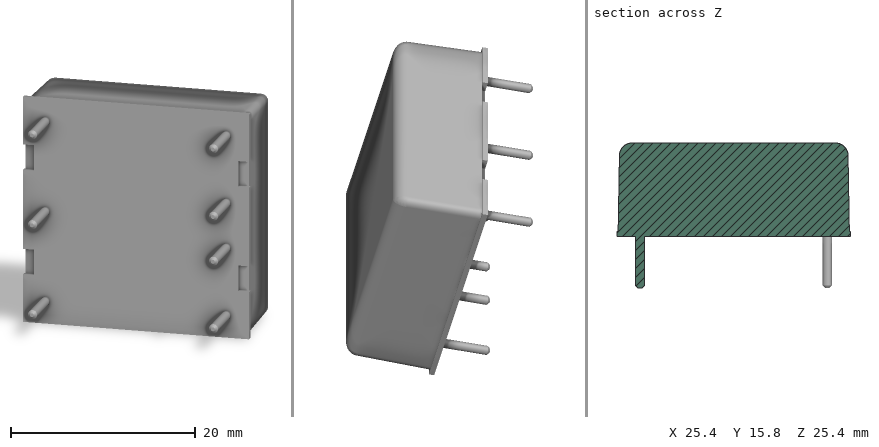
import cadquery as cq
import math

plate_side = 25.4
plate_thickness = 0.6

cover_side = 25.1
body_height = 10.18
cover_draft = 1.0
cover_rim_radius = 1.4
cover_corner_radius = 0.8

notch_depth = 1.25
notch_width = 2.9
notch_offset = 5.9

pitch = 2.54
pin_diameter = 1.0
pin_length = 5.58
pin_tip_chamfer = 0.28
pin_column = 4 * pitch
left_pin_rows = (-4 * pitch, 0, 4 * pitch)
right_pin_rows = (-4 * pitch, -pitch, pitch, 4 * pitch)


def plane_at(y):
    """Workplane at height y whose normal is +Y, with local x = -X and local y = Z."""
    return cq.Workplane(cq.Plane(origin=(0, y, 0), xDir=(-1, 0, 0), normal=(0, 1, 0)))


def make_plate():
    """Square plate with two notches in each of its side edges."""
    plate = plane_at(0).rect(plate_side, plate_side).extrude(plate_thickness)
    edge = plate_side / 2
    notch_centers = [(x, z) for x in (-edge, edge) for z in (-notch_offset, notch_offset)]
    notches = plane_at(0).pushPoints(notch_centers).rect(2 * notch_depth, notch_width)
    return plate.cut(notches.extrude(plate_thickness))


def make_cover():
    """Drafted block with a rounded top rim and smaller rounds down its four corners."""
    cover_height = body_height - plate_thickness
    cover = plane_at(plate_thickness).rect(cover_side, cover_side).extrude(cover_height, taper=cover_draft)
    cover = cover.faces(">Y").edges().fillet(cover_rim_radius)
    inset = math.tan(math.radians(cover_draft)) * cover_height / 2
    corner = cover_side / 2 - inset
    middle = plate_thickness + cover_height / 2
    for x in (-corner, corner):
        for z in (-corner, corner):
            nearest = cq.selectors.NearestToPointSelector((x, middle, z))
            cover = cover.edges(nearest).fillet(cover_corner_radius)
    return cover


def make_pin(x, z):
    """Round pin pointing along -Y from the plate, with a chamfered free end."""
    axis = cq.Plane(origin=(x, 0, z), xDir=(1, 0, 0), normal=(0, -1, 0))
    pin = cq.Workplane(axis).circle(pin_diameter / 2).extrude(pin_length)
    return pin.faces("<Y").edges().chamfer(pin_tip_chamfer)


result = make_plate().union(make_cover())
for row in left_pin_rows:
    result = result.union(make_pin(-pin_column, row))
for row in right_pin_rows:
    result = result.union(make_pin(pin_column, row))